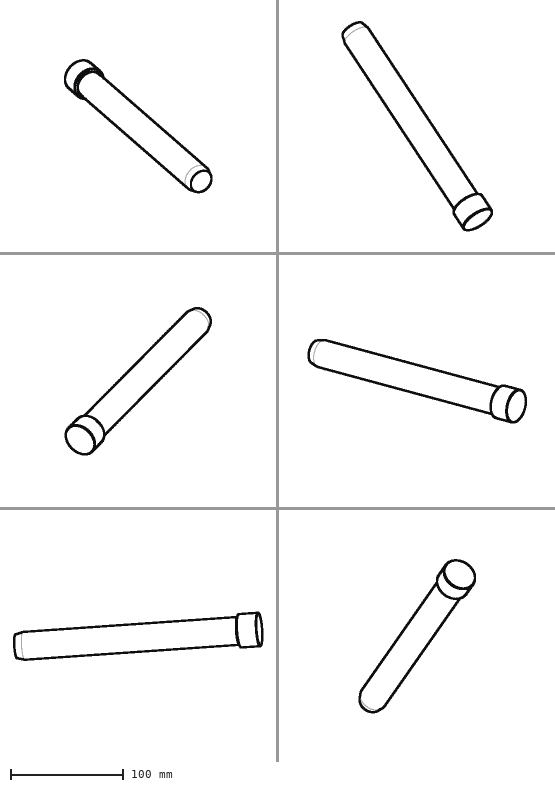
import cadquery as cq
import math

total_length = 220.0
head_diameter = 30.0
head_length = 18.0
head_chamfer = 0.5
shank_diameter = 25.0
relief_groove_radius = 0.5
tip_length = 7.0
tip_half_angle = 15.0

head_radius = head_diameter / 2
shank_radius = shank_diameter / 2
groove_middle = head_length + relief_groove_radius
groove_end = head_length + 2 * relief_groove_radius
tip_start = total_length - tip_length
tip_end_radius = shank_radius - tip_length * math.tan(math.radians(tip_half_angle))


def half_profile():
    """Closed half section of the pin in the XY plane, resting on the X axis."""
    return (
        cq.Workplane("XY")
        .moveTo(0, 0)
        .lineTo(0, head_radius - head_chamfer)
        .lineTo(head_chamfer, head_radius)
        .lineTo(head_length - head_chamfer, head_radius)
        .lineTo(head_length, head_radius - head_chamfer)
        .lineTo(head_length, shank_radius)
        .threePointArc(
            (groove_middle, shank_radius - relief_groove_radius),
            (groove_end, shank_radius),
        )
        .lineTo(tip_start, shank_radius)
        .lineTo(total_length, tip_end_radius)
        .lineTo(total_length, 0)
        .close()
    )


result = half_profile().revolve(360, (0, 0, 0), (1, 0, 0))